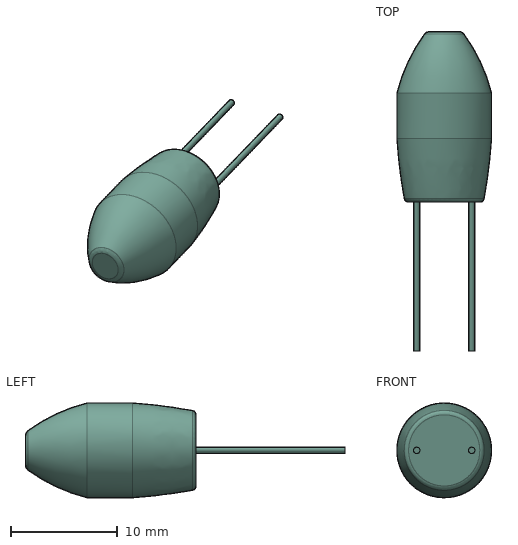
import cadquery as cq

total_length = 29.95
body_length = 16.0
body_diameter = 8.9

band_start = 5.95
band_end = 10.22

body_radius = body_diameter / 2
base_radius = 3.7
nose_radius = 1.68

taper_bulge = 0.1
nose_bulge = 0.35

base_fillet = 0.42
nose_fillet = 0.6

lead_diameter = 0.6
lead_spacing = 5.15
lead_length = total_length - body_length


def flank_middle(start, end, bulge):
    """Middle point of a curved flank, raised radially above its chord."""
    radius = (start[0] + end[0]) / 2 + bulge
    place = (start[1] + end[1]) / 2
    return (radius, place)


def make_body():
    """Bullet-shaped body: tapered base, straight band and pointed nose with a flat tip."""
    base_edge = (base_radius, 0)
    band_lower = (body_radius, band_start)
    band_upper = (body_radius, band_end)
    nose_edge = (nose_radius, body_length)
    body = (
        cq.Workplane("XY")
        .lineTo(*base_edge)
        .threePointArc(flank_middle(base_edge, band_lower, taper_bulge), band_lower)
        .lineTo(*band_upper)
        .threePointArc(flank_middle(band_upper, nose_edge, nose_bulge), nose_edge)
        .lineTo(0, body_length)
        .close()
        .revolve(360, (0, 0), (0, 1))
    )
    body = body.faces("<Y").edges().fillet(base_fillet)
    return body.faces(">Y").edges().fillet(nose_fillet)


def make_leads():
    """Two round wires running from the base toward -Y."""
    return (
        cq.Workplane("XZ")
        .pushPoints([(-lead_spacing / 2, 0), (lead_spacing / 2, 0)])
        .circle(lead_diameter / 2)
        .extrude(lead_length)
    )


result = make_body().union(make_leads())